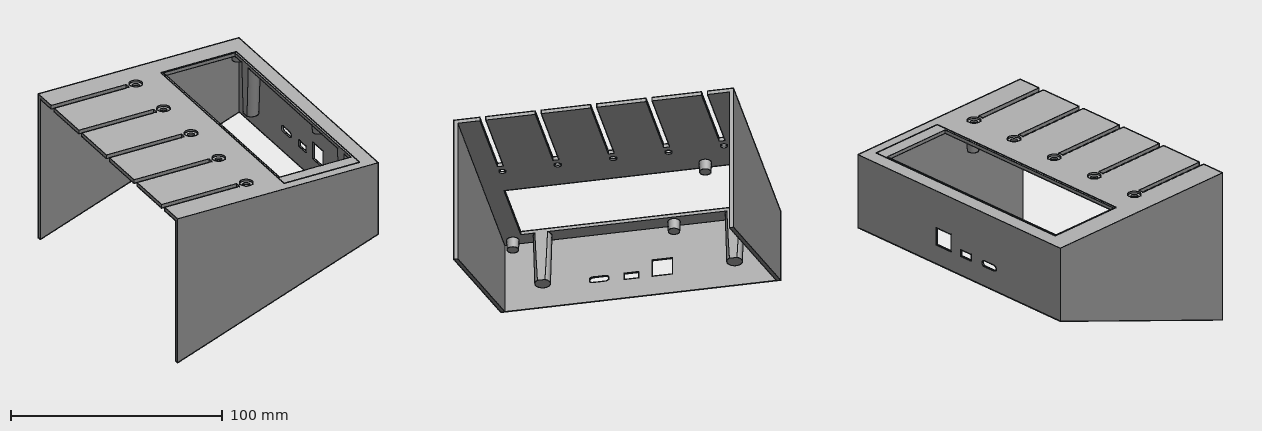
import cadquery as cq

width, depth, height = 135.0, 108.5, 78.6
wall = 2.0
rear_wall = 1.0
rear_height = 39.0
inner_top = height - wall

recess_left, recess_right = 10.8, 130.1
recess_rear, recess_front = 7.4, 48.2
recess_depth = 0.2
window_left, window_right = 11.3, 123.8
window_rear, window_front = 8.5, 47.1

hole_count, hole_pitch = 5, 26.7
hole_from_front = 45.0
hole_diameter, counterbore_diameter, counterbore_depth = 3.4, 6.5, 1.0
slot_width, slot_length = 2.8, 40.5

port_bottom = 28.9
usb_left, usb_right = 59.5, 66.5
usb_height = 3.5
square_left, square_right = 73.0, 82.9
square_height = 9.2
oblong_center, oblong_length, oblong_height = 47.5, 9.5, 3.1
oblong_drop = 27.0

pin_root_diameter, pin_tip_diameter = 6.0, 5.4
pin_bottom = 7.3
rear_pin_drop = 4.3
front_pin_drop = recess_rear + recess_front - rear_pin_drop
pin_places = [(6.6, rear_pin_drop), (84.4, rear_pin_drop), (109.4, front_pin_drop)]

post_from_center = 46.3
post_drop = 5.3
post_root_diameter, post_tip_diameter = 8.9, 7.4



def box(x0, x1, y0, y1, z0, z1):
    """Block between two opposite corners."""
    return cq.Workplane("XY").box(x1 - x0, y1 - y0, z1 - z0, centered=False).translate((x0, y0, z0))


def make_shell():
    """Sloping side panels joined by the top plate and the rear wall."""
    side = [(0, 0), (0, height), (depth, height), (depth, height - rear_height)]
    shell = cq.Workplane("YZ").polyline(side).close().extrude(width)
    return shell.cut(box(wall, width - wall, 0, depth - rear_wall, 0, inner_top))


def make_window():
    """Opening through the top plate with a shallow recess around it."""
    recess = box(recess_left, recess_right, depth - recess_front, depth - recess_rear,
                 height - recess_depth, height)
    opening = box(window_left, window_right, depth - window_front, depth - window_rear,
                  inner_top, height)
    return recess.union(opening)


def cut_holes_and_slots(body):
    """Counterbored holes and their open slots, centred across the width."""
    for i in range(hole_count):
        x = width / 2 + (i - (hole_count - 1) / 2) * hole_pitch
        top = cq.Workplane("XY", origin=(x, hole_from_front, height))
        body = body.cut(top.circle(hole_diameter / 2).extrude(-wall))
        body = body.cut(top.circle(counterbore_diameter / 2).extrude(-counterbore_depth))
        body = body.cut(box(x - slot_width / 2, x + slot_width / 2, 0, slot_length, inner_top, height))
    return body


def make_ports():
    """Two rectangular openings and one oblong opening through the rear wall."""
    z = height - port_bottom
    usb = box(usb_left, usb_right, depth - rear_wall, depth, z, z + usb_height)
    square = box(square_left, square_right, depth - rear_wall, depth, z, z + square_height)
    oblong = (
        cq.Workplane("XZ", origin=(oblong_center, depth, height - oblong_drop))
        .slot2D(oblong_length, oblong_height)
        .extrude(rear_wall)
    )
    return usb.union(square).union(oblong)


def make_taper(x, drop, root_diameter, tip_diameter, bottom):
    """Round peg hanging from the top plate, narrower at its tip."""
    return (
        cq.Workplane("XY", origin=(x, depth - drop, inner_top))
        .circle(root_diameter / 2)
        .workplane(offset=-(bottom - wall))
        .circle(tip_diameter / 2)
        .loft(combine=True)
    )


def make_post(x):
    """Long peg with the side that would block the window cut flat."""
    post = make_taper(x, post_drop, post_root_diameter, post_tip_diameter, port_bottom)
    window_path = box(0, width, depth - window_front, depth - window_rear, 0, inner_top)
    return post.cut(window_path)


result = make_shell().cut(make_window()).cut(make_ports())
result = cut_holes_and_slots(result)
for pin_x, pin_drop in pin_places:
    result = result.union(make_taper(pin_x, pin_drop, pin_root_diameter, pin_tip_diameter, pin_bottom))
for side in (-1, 1):
    result = result.union(make_post(width / 2 + side * post_from_center))